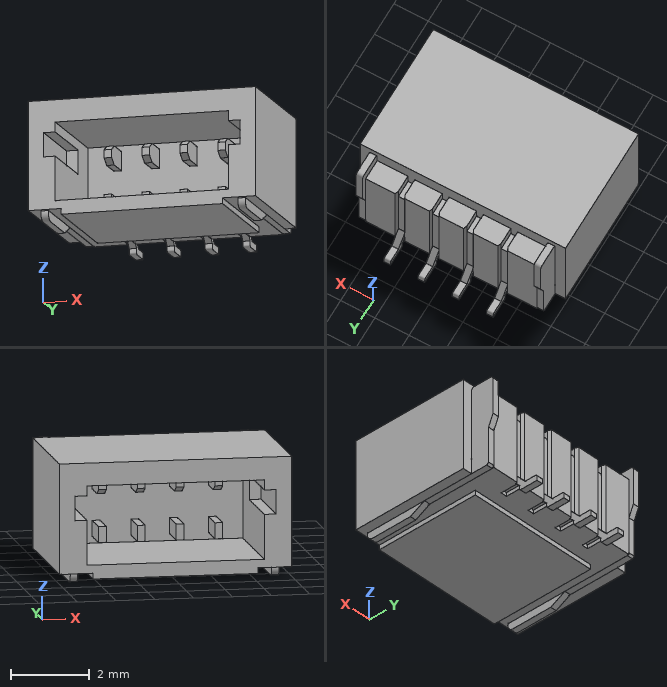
import cadquery as cq


sheet = 0.2
seat_depth = 0.25

shell_width = 6.0
shell_depth = 3.75
shell_height = 2.85

cavity_width = 4.57
cavity_depth = 3.0
cavity_floor = 0.215
cavity_top = 2.26
groove_span = 5.185
groove_depth = 2.1
groove_floor = 1.375
groove_top = 2.005

rail_width = 4.26
rail_depth = 3.35
rail_height = 0.15

block_back = 4.345
block_height = 2.4
lead_in_depth = 0.1
lead_in_side = 0.04

contact_count = 4
contact_pitch = shell_width / 6
prong_tip = 2.1
spine_front = 3.3
spine_back = block_back - lead_in_depth
spine_bottom = 0.12
lower_prong_bottom = 0.39
lower_prong_top = 0.805
upper_prong_bottom = 1.615
upper_prong_top = 2.11
tip_slope_height = 0.145
tip_slope_depth = 0.24
tail_top = 0.31
foot_back = 5.0
foot_front = 4.385
foot_bend = 4.59
foot_thickness = 0.185
foot_heel = 0.155
foot_round = 0.055

nail_offset = 2.6
nail_back = 4.5
nail_top = 2.74
nail_step_top = 1.54
nail_step_bottom = 1.175
nail_round = 0.1
nail_corner = 0.06
arm_height = 0.48
nose_centre = 0.32
nose_radius = 0.2
foot_slope_front = 1.62
foot_slope_back = 2.11


def block_between(width, y_front, y_back, z_bottom, z_top):
    """Box centred on X = 0."""
    return (
        cq.Workplane("XY")
        .box(width, y_back - y_front, z_top - z_bottom, centered=(True, False, False))
        .translate((0, y_front, z_bottom))
    )


def plate(outline):
    """Flat sheet-metal part from a closed (y, z) outline, centred on X = 0."""
    return cq.Workplane("YZ").polyline(outline).close().extrude(sheet / 2, both=True)


def make_contact(x):
    """Fork contact: two prongs, a spine and a bent solder tail."""
    foot_top = foot_thickness - seat_depth
    heel_top = foot_heel - seat_depth
    outline = [
        (spine_front, spine_bottom),
        (spine_front, lower_prong_bottom),
        (prong_tip, lower_prong_bottom),
        (prong_tip, lower_prong_top),
        (spine_front, lower_prong_top),
        (spine_front, upper_prong_bottom),
        (prong_tip + tip_slope_depth, upper_prong_bottom),
        (prong_tip, upper_prong_bottom + tip_slope_height),
        (prong_tip, upper_prong_top - tip_slope_height),
        (prong_tip + tip_slope_depth, upper_prong_top),
        (spine_back, upper_prong_top),
        (spine_back, tail_top),
        (foot_bend, foot_top),
        (foot_back, foot_top),
        (foot_back, -seat_depth),
        (foot_front, -seat_depth),
        (foot_front, heel_top),
        (foot_front - (spine_bottom - heel_top), spine_bottom),
    ]
    contact = plate(outline)
    for y, z in ((foot_back, foot_top), (foot_front, -seat_depth)):
        contact = contact.edges(cq.NearestToPointSelector((0, y, z))).fillet(foot_round)
    return contact.translate((x, 0, 0))


def make_nail(x):
    """Hold-down nail: upright plate behind the shell, arm inside it, foot under the front."""
    outline = [
        (shell_depth, nail_top),
        (nail_back, nail_top),
        (nail_back, nail_step_top),
        (block_back, nail_step_bottom),
        (block_back, nail_corner),
        (block_back - nail_corner, 0),
        (foot_slope_back, 0),
        (foot_slope_front, -seat_depth),
        (nose_centre, -seat_depth),
        (nose_centre, arm_height),
        (shell_depth, arm_height),
    ]
    nose = (
        cq.Workplane("YZ")
        .center(nose_centre, nose_radius - seat_depth)
        .circle(nose_radius)
        .extrude(sheet / 2, both=True)
    )
    nail = plate(outline).union(nose)
    for y in (shell_depth, nail_back):
        nail = nail.edges(cq.NearestToPointSelector((0, y, nail_top))).fillet(nail_round)
    return nail.translate((x, 0, 0))


def make_contact_slot(x):
    """Slot through the rear block, flared at its mouth."""
    half = sheet / 2
    mouth = half + lead_in_side
    outline = [
        (-half, shell_depth),
        (-half, spine_back),
        (-mouth, block_back),
        (mouth, block_back),
        (half, spine_back),
        (half, shell_depth),
    ]
    return cq.Workplane("XY").polyline(outline).close().extrude(block_height).translate((x, 0, 0))


def make_housing():
    """Shell, rail and rear block, with the cavity and the seats of contacts and nails cut out."""
    block_width = 2 * nail_offset - sheet
    housing = (
        block_between(shell_width, 0, shell_depth, 0, shell_height)
        .union(block_between(rail_width, 0, rail_depth, -rail_height, 0))
        .union(block_between(block_width, shell_depth, block_back, 0, block_height))
        .cut(block_between(cavity_width, 0, cavity_depth, cavity_floor, cavity_top))
        .cut(block_between(groove_span, 0, groove_depth, groove_floor, groove_top))
    )
    for x in contact_places:
        housing = housing.cut(make_contact_slot(x)).cut(make_contact(x))
    for x in nail_places:
        housing = housing.cut(make_nail(x))
    return housing


contact_places = [(i - (contact_count - 1) / 2) * contact_pitch for i in range(contact_count)]
nail_places = [-nail_offset, nail_offset]

housing = make_housing()
contacts = [make_contact(x) for x in contact_places]
nails = [make_nail(x) for x in nail_places]

result = cq.Compound.makeCompound([
    housing.val(),
    *[contact.val() for contact in contacts],
    *[nail.val() for nail in nails],
])